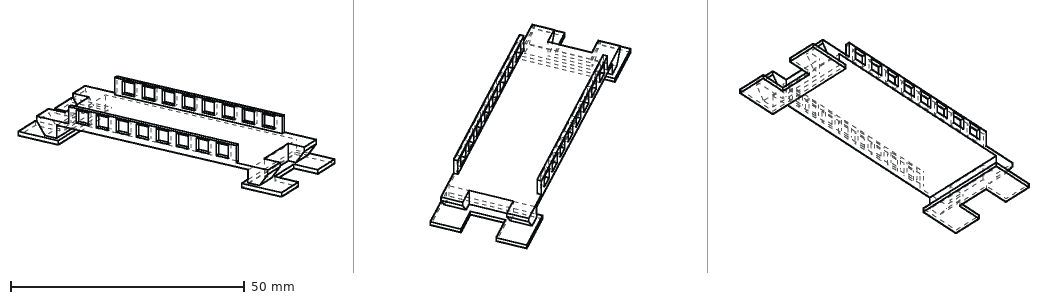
import cadquery as cq

length = 66.0
width = 22.0
height = 9.0
sheet = 1.0

foot_length = 10.0
foot_notch_depth = 6.0
foot_notch_width = 8.0

deck_length = 58.0
deck_width = 20.0
deck_top = 5.0
deck_bottom = deck_top - sheet
deck_notch_depth = 4.0
deck_notch_width = 10.0
leg_length = 5.0
leg_undercut = 2.1

wall_length = 42.0
window_count = 8
window_size = 3.0
window_end_margin = 2.0
window_top_margin = 0.4
window_pitch = (wall_length - 2 * window_end_margin - window_size) / (window_count - 1)


def block(size_x, size_y, bottom, top, x=0.0, y=0.0):
    """Upright box centred at (x, y) between two heights."""
    box = cq.Workplane("XY").box(size_x, size_y, top - bottom, centered=(True, True, False))
    return box.translate((x, y, bottom))


def left_foot():
    center_x = (foot_length - length) / 2
    notch_x = (foot_notch_depth - length) / 2
    plate = block(foot_length, width, 0, sheet, x=center_x)
    return plate.cut(block(foot_notch_depth, foot_notch_width, 0, sheet, x=notch_x))


def left_leg():
    """Block under the deck end, its outer face sloping inward down to the foot."""
    outer_x = -deck_length / 2
    inner_x = outer_x + leg_length
    profile = [
        (outer_x, deck_top),
        (outer_x, deck_bottom),
        (outer_x + leg_undercut, sheet),
        (inner_x, sheet),
        (inner_x, deck_top),
    ]
    return cq.Workplane("XZ").polyline(profile).close().extrude(deck_width / 2, both=True)


def left_deck_notch():
    """Clearance through the deck and leg, down to the foot."""
    center_x = (deck_notch_depth - deck_length) / 2
    return block(deck_notch_depth, deck_notch_width, sheet, deck_top, x=center_x)


def both_ends(left):
    return left.union(left.mirror("YZ"))


def side_walls():
    wall_y = (deck_width - sheet) / 2
    front = block(wall_length, sheet, deck_bottom, height, y=-wall_y)
    return front.union(front.mirror("XZ"))


def windows():
    """Row of square openings passing through both side walls."""
    center_z = height - window_top_margin - window_size / 2
    row = cq.Workplane("XZ", origin=(0, 0, center_z)).rarray(window_pitch, 0.65, window_count, 1)
    return row.rect(window_size, window_size).extrude(width / 2, both=True)


deck = block(deck_length, deck_width, deck_bottom, deck_top)
platform = deck.union(both_ends(left_leg())).cut(both_ends(left_deck_notch()))
walls = side_walls().cut(windows())
result = platform.union(both_ends(left_foot())).union(walls)